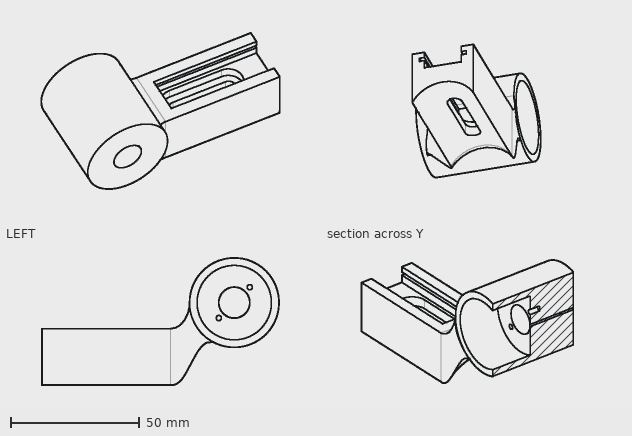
import cadquery as cq
import math

overall_length = 92.5
overall_height = 49.7

barrel_diameter = 35.0
barrel_length = 40.05
barrel_start_x = 1.5
barrel_end_x = barrel_start_x + barrel_length
barrel_y = barrel_diameter / 2
barrel_z = overall_height - barrel_diameter / 2
bore_diameter = 29.0
bore_depth = 18.5
end_wall = barrel_length - bore_depth
centre_hole_diameter = 12.0
pin_hole_diameter = 2.0
pin_hole_depth = 4.6
pin_offset = 6.0

block_width = 25.0
block_length = 50.0
block_height = 22.0
block_start_y = overall_length - block_length
block_centre_x = block_width / 2
saddle_radius = 14.5
saddle_rise = saddle_radius - math.sqrt(saddle_radius**2 - block_centre_x**2)

channel_width = 15.1
channel_length = 45.0
channel_depth = 7.0
groove_width = 19.1
groove_top_depth = 2.4
groove_height = 1.4

slot_centre_y = 64.9
pocket_width = 12.0
pocket_length = 34.8
pocket_depth = 4.0
slot_width = 6.0
slot_length = 29.0

neck_foot_y = 26.2
neck_foot_z = 16.7
neck_foot_end_x = 39.4
neck_spans = 8
final_arch_rise = 0.2


def make_block():
    """Block with an arched saddle along its underside."""
    return (
        cq.Workplane("XZ", origin=(0, overall_length, 0))
        .lineTo(0, block_height)
        .lineTo(block_width, block_height)
        .lineTo(block_width, 0)
        .threePointArc((block_centre_x, saddle_rise), (0, 0))
        .close()
        .extrude(block_length)
    )


def neck_section(progress):
    """Section of the neck, from the block end (0) to the barrel (1)."""
    angle = progress * math.pi / 2
    top_blend = 1 - math.cos(angle)
    foot_blend = progress**3 * (10 - 15 * progress + 6 * progress**2)
    top_y = block_start_y + (barrel_diameter - block_start_y) * math.sin(angle)
    top_z = block_height + (barrel_z - block_height) * top_blend
    foot_y = block_start_y + (neck_foot_y - block_start_y) * progress
    foot_z = neck_foot_z * foot_blend

    def side_positions(blend, end_x):
        left = barrel_start_x * blend
        right = block_width + (end_x - block_width) * blend
        return left, right

    top_left, top_right = side_positions(top_blend, barrel_end_x)
    foot_left, foot_right = side_positions(foot_blend, neck_foot_end_x)
    foot = cq.Vector(0, foot_y, foot_z)
    upward = (cq.Vector(0, top_y, top_z) - foot).normalized()
    rise = saddle_rise + (final_arch_rise - saddle_rise) * foot_blend
    crown = foot + upward * rise + cq.Vector((foot_left + foot_right) / 2, 0, 0)
    corners = [
        cq.Vector(foot_left, foot_y, foot_z),
        cq.Vector(top_left, top_y, top_z),
        cq.Vector(top_right, top_y, top_z),
        cq.Vector(foot_right, foot_y, foot_z),
    ]
    edges = [cq.Edge.makeLine(start, end) for start, end in zip(corners, corners[1:])]
    edges.append(cq.Edge.makeThreePointArc(corners[3], crown, corners[0]))
    return cq.Wire.assembleEdges(edges)


def make_neck():
    sections = [neck_section(i / neck_spans) for i in range(neck_spans + 1)]
    neck = cq.Workplane(cq.Solid.makeLoft(sections))
    return neck.cut(barrel_cylinder(barrel_diameter, 0, barrel_start_x))


def barrel_cylinder(diameter, start_x, length, y=barrel_y, z=barrel_z):
    return cq.Workplane("YZ", origin=(start_x, y, z)).circle(diameter / 2).extrude(length)


def cut_channel(body):
    """Open-ended channel with a groove along each side wall."""
    start_y = overall_length - channel_length
    alignment = (True, False, False)
    channel = cq.Workplane().box(channel_width, channel_length, channel_depth, centered=alignment)
    groove = cq.Workplane().box(groove_width, channel_length, groove_height, centered=alignment)
    body = body.cut(channel.translate((block_centre_x, start_y, block_height - channel_depth)))
    groove_z = block_height - groove_top_depth - groove_height
    return body.cut(groove.translate((block_centre_x, start_y, groove_z)))


def cut_slot(body):
    """Through slot with a wider pocket around it."""
    floor_z = block_height - channel_depth
    floor = cq.Workplane("XY", origin=(block_centre_x, slot_centre_y, floor_z))
    pocket = floor.slot2D(pocket_length, pocket_width, 90).extrude(-pocket_depth)
    slot = floor.slot2D(slot_length, slot_width, 90).extrude(-floor_z)
    return body.cut(pocket).cut(slot)


def cut_barrel(body):
    """Blind bore, centre hole and two opposite blind pin holes in the end wall."""
    body = body.cut(barrel_cylinder(bore_diameter, barrel_start_x, bore_depth))
    wall_x = barrel_start_x + bore_depth
    body = body.cut(barrel_cylinder(centre_hole_diameter, wall_x, end_wall))
    for side in (-1, 1):
        pin_y = barrel_y + side * pin_offset
        pin_z = barrel_z - side * pin_offset
        body = body.cut(barrel_cylinder(pin_hole_diameter, wall_x, pin_hole_depth, pin_y, pin_z))
    return body


barrel = barrel_cylinder(barrel_diameter, barrel_start_x, barrel_length)
body = make_block().union(make_neck()).union(barrel)
body = cut_channel(body)
body = cut_slot(body)
result = cut_barrel(body)